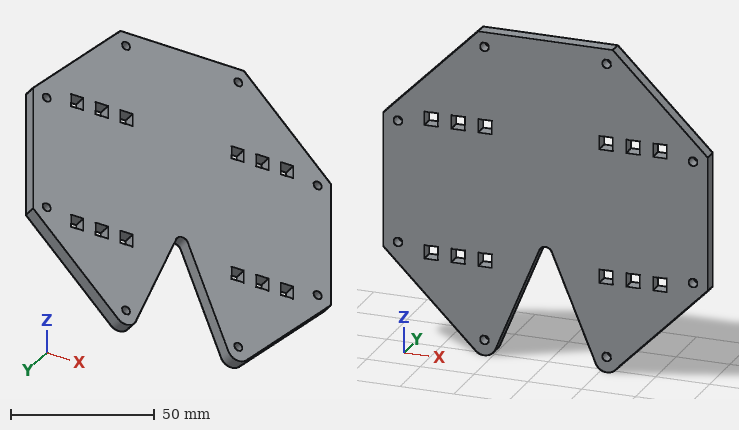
import cadquery as cq
import math

side = 50.0
thickness = 5.0
half_side = side / 2
apothem = half_side * (1 + math.sqrt(2))

notch_half_angle = math.radians(22.5)
notch_apex_z = -12.88
notch_tip_radius = 2.5
lobe_radius = 4.5

hole_diameter = 3.2
hole_edge_distance = 5.5
hole_count = 8

window_size = 5.0
window_columns = (22.5, 32.5, 42.5)
window_row_z = 25.0


def notched_plate():
    """Octagon whose lower edge is replaced by the notch between two lobes."""
    flank_slope = math.tan(notch_half_angle)
    bevel_sum = apothem + half_side
    lobe_tip_depth = (bevel_sum - flank_slope * notch_apex_z) / (1 + flank_slope)
    lobe_tip_x = bevel_sum - lobe_tip_depth

    right_half = [
        (half_side, apothem),
        (apothem, half_side),
        (apothem, -half_side),
        (lobe_tip_x, -lobe_tip_depth),
    ]
    left_half = [(-x, z) for x, z in reversed(right_half)]
    outline = right_half + [(0, notch_apex_z)] + left_half
    plate = cq.Workplane("XZ").polyline(outline).close().extrude(-thickness)

    for lobe_x in (-lobe_tip_x, lobe_tip_x):
        lobe_tip = (lobe_x, thickness / 2, -lobe_tip_depth)
        plate = plate.edges(cq.NearestToPointSelector(lobe_tip)).fillet(lobe_radius)
    notch_apex = (0, thickness / 2, notch_apex_z)
    return plate.edges(cq.NearestToPointSelector(notch_apex)).fillet(notch_tip_radius)


def screw_holes():
    """Through-hole cylinders on the lines from the centre to the octagon corners."""
    full_turn = 360
    corner_step = full_turn / hole_count
    circle_radius = (apothem - hole_edge_distance) / math.cos(math.radians(corner_step / 2))
    return (
        cq.Workplane("XZ")
        .polarArray(circle_radius, corner_step / 2, full_turn, hole_count)
        .circle(hole_diameter / 2)
        .extrude(-thickness)
    )


def windows():
    """Square through-windows, mirrored left to right and top to bottom."""
    centres = [
        (side_sign * column_x, row_z)
        for side_sign in (-1, 1)
        for column_x in window_columns
        for row_z in (-window_row_z, window_row_z)
    ]
    return cq.Workplane("XZ").pushPoints(centres).rect(window_size, window_size).extrude(-thickness)


result = notched_plate().cut(screw_holes()).cut(windows())